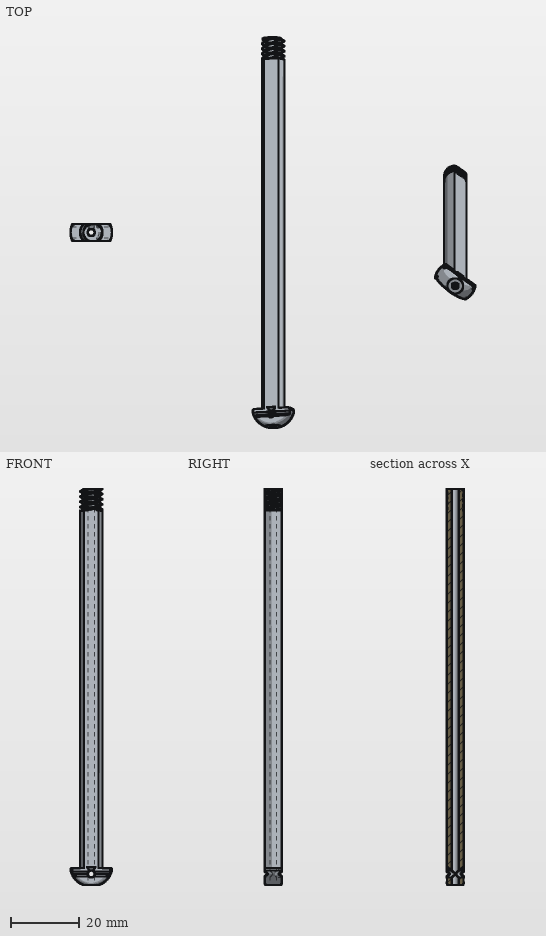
import cadquery as cq

total_length = 116.2
head_height = 5.0
thread_length = 6.4
flat_spacing = 5.0

head_diameter = 12.2
rim_rounding = 0.6
rim_height = 0.7
dome_edge_rounding = 0.8
bottom_radius = 2.3

shank_diameter = 6.6
hole_diameter = 2.0
core_radius = 2.3
crest_radius = 3.3
thread_pitch = 1.5
thread_root_width = 1.4
thread_overlap = 0.1
thread_start_offset = 0.3

groove_z = -1.7
groove_width = 1.4
groove_depth = 0.9
notch_top_z = 0.3
notch_width = 2.4
notch_depth = 1.5

thread_end_z = total_length - head_height
shank_length = thread_end_z - thread_length
flat_y = flat_spacing / 2
head_radius = head_diameter / 2
shank_radius = shank_diameter / 2
hole_radius = hole_diameter / 2


def make_flats_envelope():
    return cq.Workplane("XY", origin=(0, 0, -head_height)).box(
        head_diameter, flat_spacing, total_length, centered=(True, True, False)
    )


def make_button():
    rim_drop = head_height - rim_height
    centre_z = (head_radius**2 - bottom_radius**2 + rim_height**2 - head_height**2) / (2 * rim_drop)
    dome_radius = (head_radius**2 + (centre_z + rim_height) ** 2) ** 0.5
    mid_x = (head_radius + bottom_radius) / 2
    mid_z = centre_z - (dome_radius**2 - mid_x**2) ** 0.5
    button = (
        cq.Workplane("XZ")
        .lineTo(head_radius, 0)
        .lineTo(head_radius, -rim_height)
        .threePointArc((mid_x, mid_z), (bottom_radius, -head_height))
        .lineTo(0, -head_height)
        .close()
        .revolve(360, (0, 0), (0, 1))
    )
    return button.faces(">Z").edges().fillet(rim_rounding)


def make_groove(side):
    return (
        cq.Workplane("YZ", origin=(-head_radius, 0, 0))
        .moveTo(side * flat_y, groove_z - groove_width / 2)
        .lineTo(side * (flat_y - groove_depth), groove_z)
        .lineTo(side * flat_y, groove_z + groove_width / 2)
        .close()
        .extrude(head_diameter)
    )


def make_head(flats_envelope):
    head = make_button().intersect(flats_envelope)
    for side in (-1, 1):
        head = head.cut(make_groove(side))
    below_groove = cq.selectors.BoxSelector(
        (-head_radius, -head_radius, -head_height),
        (head_radius, head_radius, groove_z - groove_width / 2),
    )
    dome_edges = head.faces("|Y").edges(below_groove).edges("not %LINE")
    return dome_edges.fillet(dome_edge_rounding)


def make_shank():
    shank = cq.Workplane("XY").circle(shank_radius).extrude(shank_length)
    core = cq.Workplane("XY").circle(core_radius).extrude(thread_end_z)
    return shank.union(core)


def make_thread():
    root_radius = core_radius - thread_overlap
    helix = cq.Wire.makeHelix(thread_pitch, thread_length + 2 * thread_pitch, root_radius)
    return (
        cq.Workplane("XZ")
        .moveTo(root_radius, -thread_root_width / 2)
        .lineTo(crest_radius, 0)
        .lineTo(root_radius, thread_root_width / 2)
        .close()
        .sweep(cq.Workplane(helix), isFrenet=True)
        .translate((0, 0, shank_length + thread_start_offset - thread_pitch))
    )


def make_notch(side):
    taper = (
        cq.Workplane("XZ")
        .moveTo(-notch_width / 2, notch_top_z)
        .lineTo(notch_width / 2, notch_top_z)
        .lineTo(0, groove_z)
        .close()
        .extrude(flat_y, both=True)
    )
    sloped_floor = (
        cq.Workplane("YZ")
        .moveTo(side * flat_y, notch_top_z)
        .lineTo(side * (flat_y - notch_depth), groove_z + hole_radius)
        .lineTo(side * flat_y, groove_z + hole_radius)
        .close()
        .extrude(notch_width, both=True)
    )
    return taper.intersect(sloped_floor)


flats_envelope = make_flats_envelope()
body = make_shank().intersect(flats_envelope).union(make_head(flats_envelope))
body = body.union(make_thread().intersect(flats_envelope))

for side in (-1, 1):
    body = body.cut(make_notch(side))

axial_bore = cq.Workplane("XY", origin=(0, 0, -head_height)).circle(hole_radius).extrude(total_length)
cross_hole = cq.Workplane("XZ", origin=(0, 0, groove_z)).circle(hole_radius).extrude(flat_y, both=True)
result = body.cut(axial_bore).cut(cross_hole).solids()